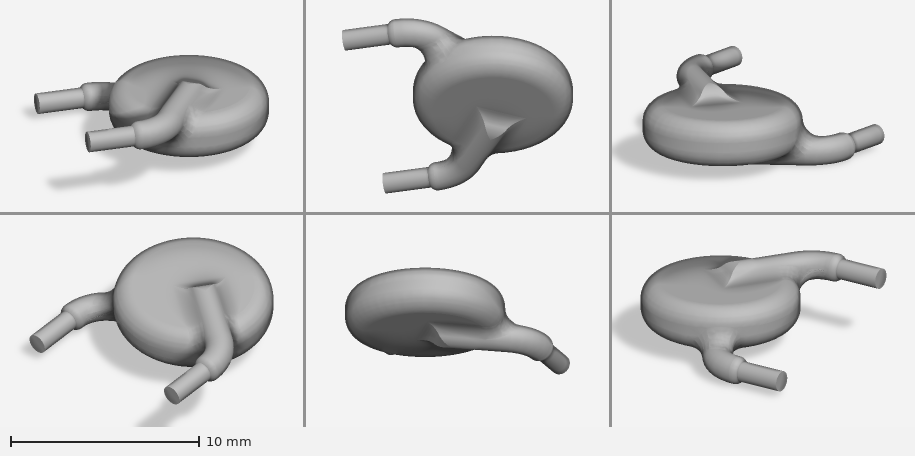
import cadquery as cq
import math

disc_radius = 4.25
disc_thickness = 2.5
rim_radius = 1.0

lead_x = 4.84
coat_radius = 0.75
wire_radius = 0.55
wire_end_y = -7.0
bend_radius = 2.34
bend_start_y = -4.14
coat_end_y = -4.6
coat_end_round = 0.45
lead_angle = 35.0
arm_length = 5.51
rise_length = 4.67
untrimmed_tip_round = 0.62
blend_radius = 0.99

seam_samples = (0.2, 0.5, 0.8)
tolerance = 1.13e-05

lead_z = disc_thickness / 2
arm_x = math.cos(math.radians(lead_angle))
arm_y = -math.sin(math.radians(lead_angle))
bend_x = lead_x - bend_radius
elbow_x = bend_x - bend_radius * arm_y
elbow_y = bend_start_y + bend_radius * arm_x
tip_x = elbow_x - arm_length * arm_x
tip_y = elbow_y - arm_length * arm_y
foot_x = elbow_x - rise_length * arm_x
foot_y = elbow_y - rise_length * arm_y


def rotated_half_turn(shape):
    """Turn a shape about Y, from the upper lead's place to the lower lead's."""
    return shape.rotate((0, 0, 0), (0, 1, 0), 180)


def make_disc():
    disc = cq.Workplane("XY").circle(disc_radius).extrude(disc_thickness / 2, both=True)
    return disc.edges().fillet(rim_radius)


def make_coat():
    """Coating of the upper lead: straight arm, bend and short straight end."""
    half_bend = math.radians((90 - lead_angle) / 2)
    bend_middle = (
        bend_x + bend_radius * math.cos(half_bend),
        bend_start_y + bend_radius * math.sin(half_bend),
    )
    path = (
        cq.Workplane("XY", origin=(0, 0, lead_z))
        .moveTo(tip_x, tip_y)
        .lineTo(elbow_x, elbow_y)
        .threePointArc(
            bend_middle,
            (lead_x, bend_start_y),
        )
        .lineTo(lead_x, coat_end_y)
    )
    start = cq.Plane(origin=(tip_x, tip_y, lead_z), xDir=(0, 0, 1), normal=(arm_x, arm_y, 0))
    coat = cq.Workplane(start).circle(coat_radius).sweep(path)
    coat = coat.faces("<Y").edges().fillet(coat_end_round)
    tip_face = cq.selectors.NearestToPointSelector((tip_x, tip_y, lead_z))
    return coat.faces(tip_face).edges().fillet(untrimmed_tip_round)


def seam_edges(body, disc, coat):
    """Edges of body that lie on both the disc surface and the coat surface."""
    disc_shell = disc.val().Shells()[0]
    coat_shell = coat.val().Shells()[0]

    def on_both(edge):
        points = [cq.Vertex.makeVertex(*edge.positionAt(t).toTuple()) for t in seam_samples]
        return all(shell.distance(p) < tolerance for p in points for shell in (disc_shell, coat_shell))

    return [edge for edge in body.edges().vals() if on_both(edge)]


def make_tip_cutter():
    """Everything above the disc face and ahead of the S-curve where the coat rises."""
    rise = coat_radius
    run = math.sqrt((2 * blend_radius) ** 2 - (2 * blend_radius - rise) ** 2)
    swing = math.asin(run / (2 * blend_radius))
    foot_mid = (blend_radius * math.sin(swing / 2), blend_radius * (1 - math.cos(swing / 2)))
    middle = (run / 2, rise / 2)
    crest_mid = (run - foot_mid[0], rise - foot_mid[1])
    crest = (run, rise)
    side = cq.Plane(origin=(foot_x, foot_y, lead_z), xDir=(arm_x, arm_y, 0), normal=(arm_y, -arm_x, 0))
    return (
        cq.Workplane(side)
        .moveTo(0, 0)
        .threePointArc(foot_mid, middle)
        .threePointArc(crest_mid, crest)
        .lineTo(run, 2 * rise)
        .lineTo(-disc_radius, 2 * rise)
        .lineTo(-disc_radius, 0)
        .close()
        .extrude(disc_radius, both=True)
    )


def make_wire():
    """Bare wire of the upper lead."""
    wire = cq.Workplane("XZ", origin=(lead_x, bend_start_y, lead_z)).circle(wire_radius)
    return wire.extrude(bend_start_y - wire_end_y)


disc = make_disc()
upper_coat = make_coat()
coats = (upper_coat, rotated_half_turn(upper_coat))
body = disc
for coat in coats:
    body = body.union(coat)

seams = [edge for coat in coats for edge in seam_edges(body, disc, coat)]
result = cq.Workplane(body.val().fillet(blend_radius, seams))

tip_cutter = make_tip_cutter()
wire = make_wire()
result = result.cut(tip_cutter).cut(rotated_half_turn(tip_cutter))
result = result.union(wire).union(rotated_half_turn(wire))